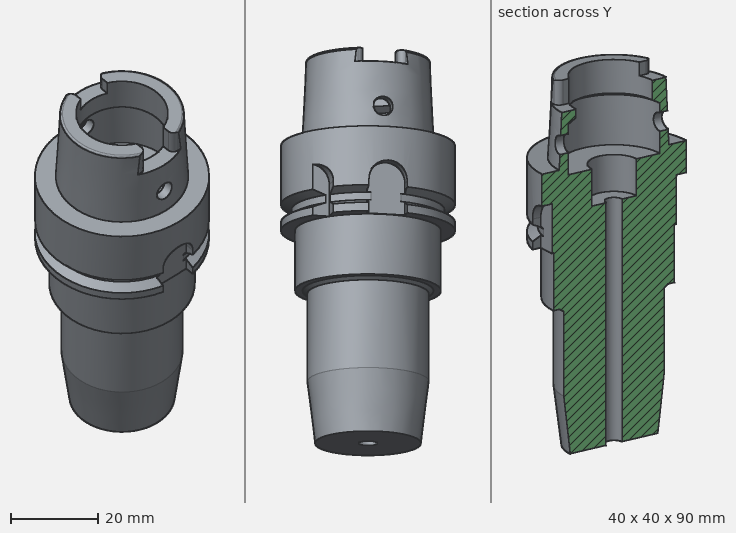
import cadquery as cq

total_height = 90.0
nose_top = 14.6
shoulder_relief_bottom = 35.2
shoulder = 35.9
flange_length = 20.0
shank_length = 20.0
flange_top = total_height - shank_length
flange_bottom = flange_top - flange_length

nose_end_radius = 12.15
neck_radius = 13.95
relief_radius = 15.0
body_radius = 16.7
flange_radius = 20.0
shank_base_radius = 15.2
shank_tip_radius = 14.2
rim_round = 0.5

groove_radius = 17.55
groove_lip = flange_bottom + 2.0
groove_floor_bottom = flange_bottom + 3.15
groove_floor_top = flange_bottom + 4.95
groove_upper_edge = flange_bottom + 6.1

slot_radius = 4.5
slot_top = flange_bottom + 12.1
slot_floor_offset = 17.2
notch_floor_offset = 12.0
notch_center_y = 16.6

key_half_width = 4.05
key_corner_radius = 1.5
key_shoulder_x = 13.0
key_depth_left = 3.3
key_depth_right = 6.0

mouth_radius = 10.5
cavity_radius = 12.6
mouth_depth = 8.2
cavity_cone_height = 1.2
cavity_depth = 21.6
tube_bore_radius = 6.1
tube_bore_depth = 9.0
coolant_radius = 2.2
cross_hole_radius = 2.25
cross_hole_z = flange_top + 6.0


def revolve_profile(points):
    """Revolve (radius, z) points about the Z axis."""
    return cq.Workplane("XZ").polyline(points).close().revolve(360, (0, 0, 0), (0, 1, 0))


def holder_body():
    body = revolve_profile([
        (0, 0),
        (nose_end_radius, 0),
        (neck_radius, nose_top),
        (neck_radius, shoulder_relief_bottom),
        (relief_radius, shoulder),
        (body_radius, shoulder),
        (body_radius, flange_bottom),
        (flange_radius, flange_bottom),
        (flange_radius, groove_lip),
        (groove_radius, groove_floor_bottom),
        (groove_radius, groove_floor_top),
        (flange_radius, groove_upper_edge),
        (flange_radius, flange_top),
        (shank_base_radius, flange_top),
        (shank_tip_radius, total_height),
        (0, total_height),
    ])
    return body.faces(">Z").edges().fillet(rim_round)


def cavity():
    mouth_bottom = total_height - mouth_depth
    cone_bottom = mouth_bottom - cavity_cone_height
    cavity_floor = total_height - cavity_depth
    tube_bore_floor = cavity_floor - tube_bore_depth
    return revolve_profile([
        (0, 0),
        (coolant_radius, 0),
        (coolant_radius, tube_bore_floor),
        (tube_bore_radius, tube_bore_floor),
        (tube_bore_radius, cavity_floor),
        (cavity_radius, cavity_floor),
        (cavity_radius, cone_bottom),
        (mouth_radius, mouth_bottom),
        (mouth_radius, total_height),
        (0, total_height),
    ])


def arched_slot(center_y, floor_offset):
    """Round-topped slot on the -X side, open at the underside of the flange."""
    arch_center_z = slot_top - slot_radius
    return (
        cq.Workplane("YZ", origin=(-flange_radius, 0, 0))
        .moveTo(center_y - slot_radius, flange_bottom)
        .lineTo(center_y - slot_radius, arch_center_z)
        .threePointArc((center_y, slot_top), (center_y + slot_radius, arch_center_z))
        .lineTo(center_y + slot_radius, flange_bottom)
        .close()
        .extrude(flange_radius - floor_offset)
    )


def keyway(depth):
    """Keyway through the +X rim wall, flaring over rounded corners to a flat shoulder."""
    corner_start_x = key_shoulder_x - key_corner_radius
    corner_end_y = key_half_width + key_corner_radius
    outside = flange_radius
    return (
        cq.Workplane("XY", origin=(0, 0, total_height - depth))
        .moveTo(0, -key_half_width)
        .lineTo(corner_start_x, -key_half_width)
        .radiusArc((key_shoulder_x, -corner_end_y), key_corner_radius)
        .lineTo(key_shoulder_x, -outside)
        .lineTo(outside, -outside)
        .lineTo(outside, outside)
        .lineTo(key_shoulder_x, outside)
        .lineTo(key_shoulder_x, corner_end_y)
        .radiusArc((corner_start_x, key_half_width), key_corner_radius)
        .lineTo(0, key_half_width)
        .close()
        .extrude(depth)
    )


def half_turn(shape):
    return shape.rotate((0, 0, 0), (0, 0, 1), 180)


drive_slot = arched_slot(0, slot_floor_offset)
orientation_notch = arched_slot(notch_center_y, notch_floor_offset)
cross_hole = (
    cq.Workplane("YZ")
    .center(0, cross_hole_z)
    .circle(cross_hole_radius)
    .extrude(flange_radius, both=True)
)

result = (
    holder_body()
    .cut(cavity())
    .cut(drive_slot)
    .cut(half_turn(drive_slot))
    .cut(orientation_notch)
    .cut(keyway(key_depth_right))
    .cut(half_turn(keyway(key_depth_left)))
    .cut(cross_hole)
)